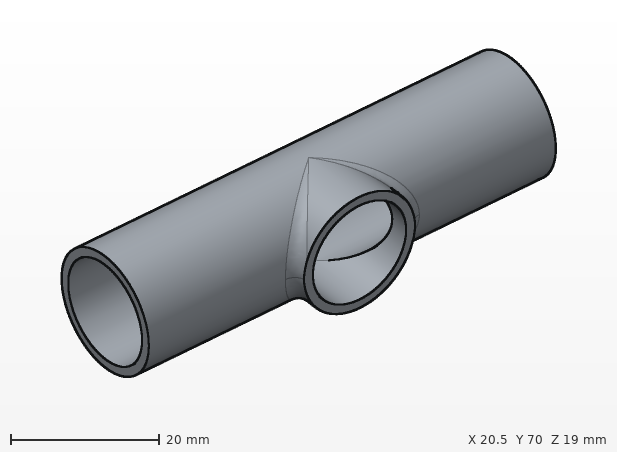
import cadquery as cq

length = 70.0
outer_diameter = 19.0
bore_diameter = 16.0
overall_width = 20.5
fillet_radius = 2.0

outer_radius = outer_diameter / 2
branch_reach = overall_width - outer_radius
untrimmed_reach = branch_reach + 2 * fillet_radius


def run_cylinder(diameter):
    """Cylinder along Y, centred on the origin."""
    return cq.Workplane("XZ").circle(diameter / 2).extrude(length / 2, both=True)


def branch_cylinder(diameter):
    """Cylinder along +X, starting on the main axis."""
    return cq.Workplane("YZ").circle(diameter / 2).extrude(untrimmed_reach)


def blended_tee():
    """Solid tee with the corner between run and branch filleted."""
    tee = run_cylinder(outer_diameter).union(branch_cylinder(outer_diameter))
    corner = cq.selectors.BoxSelector((0, -outer_radius, -outer_radius), (outer_radius,) * 3)
    return tee.edges(corner).edges("%ELLIPSE").fillet(fillet_radius)


trim = cq.Workplane("YZ").workplane(offset=branch_reach).rect(length, length).extrude(length)
result = (
    blended_tee()
    .cut(trim)
    .cut(run_cylinder(bore_diameter))
    .cut(branch_cylinder(bore_diameter))
)